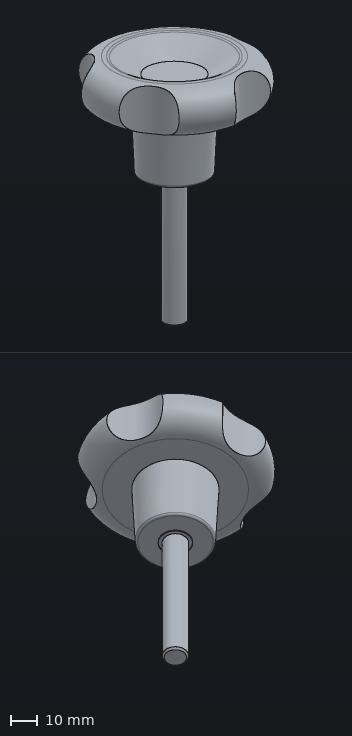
import cadquery as cq

total_height = 108.0
stud_length = 60.0
head_height = 20.0

head_radius = 37.5
rim_radius = head_height / 2
flat_radius = head_radius - rim_radius
head_bottom = total_height - head_height
rim_height = total_height - rim_radius

dish_radius = 25.0
lip_radius = 2.0
dish_floor_radius = 12.6
dish_depth = 7.2

scallop_count = 5
scallop_radius = 15.0
scallop_centre_distance = 45.0
first_scallop_angle = -90.0

hub_top_radius = 16.4
hub_bottom_radius = 15.1
hub_edge_radius = 1.0
collar_radius = 6.5
collar_height = 0.4
hub_bottom = stud_length + collar_height

stud_radius = 10.0 / 2
stud_tip_radius = 8.4 / 2
stud_chamfer = stud_radius - stud_tip_radius


def make_head():
    """Revolve the rounded rim, then cut the finger scallops around it."""
    head = (
        cq.Workplane("XZ")
        .moveTo(0, head_bottom)
        .lineTo(flat_radius, head_bottom)
        .threePointArc((head_radius, rim_height), (flat_radius, total_height))
        .lineTo(0, total_height)
        .close()
        .revolve(360, (0, 0, 0), (0, 1, 0))
    )
    scallops = (
        cq.Workplane("XY", origin=(0, 0, head_bottom))
        .polarArray(scallop_centre_distance, first_scallop_angle, 360, scallop_count)
        .circle(scallop_radius)
        .extrude(head_height)
    )
    return head.cut(scallops)


def cut_dish(head):
    """Cut the flat-floored conical dish and blend its lip into the top face."""
    dish_floor = total_height - dish_depth
    dish = (
        cq.Workplane("XZ")
        .moveTo(0, total_height)
        .lineTo(dish_radius, total_height)
        .lineTo(dish_floor_radius, dish_floor)
        .lineTo(0, dish_floor)
        .close()
        .revolve(360, (0, 0, 0), (0, 1, 0))
    )
    lip_edge = cq.selectors.RadiusNthSelector(0)
    return head.cut(dish).faces(">Z").edges(lip_edge).fillet(lip_radius)


def make_hub():
    """Taper the hub down from the head and round its lower edge."""
    hub = (
        cq.Workplane("XZ")
        .moveTo(0, hub_bottom)
        .lineTo(hub_bottom_radius, hub_bottom)
        .lineTo(hub_top_radius, head_bottom)
        .lineTo(0, head_bottom)
        .close()
        .revolve(360, (0, 0, 0), (0, 1, 0))
    )
    return hub.faces("<Z").edges().fillet(hub_edge_radius)


def make_stud():
    """Build the chamfered stud and the collar at its root."""
    stud = cq.Workplane("XY").circle(stud_radius).extrude(hub_bottom)
    stud = stud.faces("<Z").edges().chamfer(stud_chamfer)
    collar = (
        cq.Workplane("XY", origin=(0, 0, stud_length))
        .circle(collar_radius)
        .extrude(collar_height)
    )
    return stud.union(collar)


result = cut_dish(make_head()).union(make_hub()).union(make_stud())